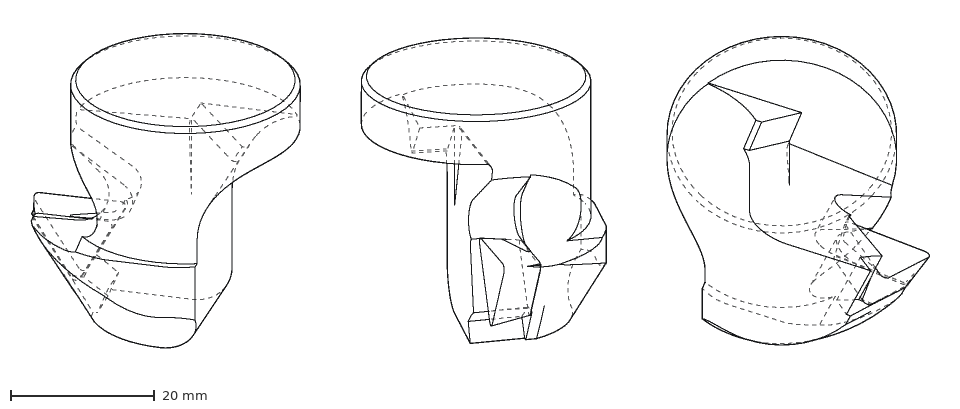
import cadquery as cq
import math

head_diameter = 32.0
head_radius = head_diameter / 2
total_height = 35.05
head_chamfer = 0.72
back_cut_x = 5.9
flange_underside_z = 27.95
foot_corner_radius = 5.7

foot_top_z = 14.3
foot_radius = 13.45
flank_slope = math.tan(math.radians(30))
relief_wall_y = -17.13
wall_left_x = -22.75
wall_rear_y = 7.58
wall_side_corner = (wall_left_x, -4.17)
wall_arc_start = (-18.95, -9.48)
wall_arc_middle = (-13.35, -14.78)
wall_arc_end = (-7.05, relief_wall_y)
wall_flat_end_x = 1.48
wall_back_y = -15.9

skew_angle = 5
rake_y = 1.95
insert_thickness = 5.55
clearance_angle = 5.5
nose_radius = 0.75
insert_corners = [(-22.47, 15.1), (-14.8, 2.85), (-8.35, 14.6)]
seat_y = rake_y - insert_thickness

front_root_radius = 4.47
front_root = (-14.6, 18.4)
rear_root_radius = 6.15 / 2
front_roof_angle = 45
rear_root = (-9.85, 17.45)
rear_roof_angle = 36

chip_face_y = 3.05
chip_face_tilt = 5.5
chip_wall_y = 0.5
flange_fillet = 1.15
boss_y = 7.95
boss_bottom_z = 22.0
boss_start_x = 0.0

flank_relief_foot_x = -12.35
flank_relief_slope = math.tan(math.radians(31.5))
notch_profile = [(-11.75, 0), (-10.25, 2.73), (-13.65, 5.3)]
notch_y = -3.8

reach = 45.48


def skewed(shape):
    """Turn a shape from the insert's frame into the part's frame."""
    return shape.rotate((0, 0, 0), (0, 0, 1), skew_angle)


def box(x_min, x_max, y_min, y_max, z_min, z_max):
    return cq.Workplane("XY").box(
        x_max - x_min, y_max - y_min, z_max - z_min, centered=False
    ).translate((x_min, y_min, z_min))


def prism_along_y(outline, y_min, y_max):
    """Extrude a closed XZ outline between two Y positions."""
    return cq.Workplane("XZ", origin=(0, y_max, 0)).polyline(outline).close().extrude(y_max - y_min)


def make_head():
    """Cylinder from the top of the foot upward; the neck is cut out of it later."""
    head = cq.Workplane("XY", origin=(0, 0, foot_top_z)).circle(head_radius)
    head = head.extrude(total_height - foot_top_z)
    return head.faces(">Z").edges().chamfer(head_chamfer)


def make_foot():
    """Conical flank trimmed by the plan outline of the relief wall."""
    top_radius = foot_radius + flank_slope * foot_top_z
    cone = cq.Workplane(cq.Solid.makeCone(foot_radius, top_radius, foot_top_z))
    wall = (
        cq.Workplane("XY")
        .moveTo(wall_left_x, wall_rear_y)
        .lineTo(*wall_side_corner)
        .lineTo(*wall_arc_start)
        .threePointArc(wall_arc_middle, wall_arc_end)
        .lineTo(wall_flat_end_x, relief_wall_y)
        .tangentArcPoint((back_cut_x, wall_back_y), relative=False)
        .lineTo(back_cut_x, wall_rear_y)
        .close()
        .extrude(foot_top_z)
    )
    return cone.intersect(wall)


def back_cut():
    """Flat up the +X side that sweeps out under the flange in a quarter circle."""
    sweep_radius = head_radius - back_cut_x
    sweep_z = flange_underside_z - sweep_radius
    sweep_diagonal = sweep_radius * math.sqrt(0.5)
    corner_start_x = back_cut_x - foot_corner_radius
    corner_inset = foot_corner_radius * (1 - math.sqrt(0.5))
    return (
        cq.Workplane("XZ", origin=(0, reach / 2, 0))
        .moveTo(corner_start_x, 0)
        .threePointArc((back_cut_x - corner_inset, corner_inset), (back_cut_x, foot_corner_radius))
        .lineTo(back_cut_x, sweep_z)
        .threePointArc(
            (head_radius - sweep_diagonal, sweep_z + sweep_diagonal),
            (head_radius, flange_underside_z),
        )
        .lineTo(reach, flange_underside_z)
        .lineTo(reach, 0)
        .close()
        .extrude(reach)
    )


def gullet(root, radius, roof_angle, y_min, y_max):
    """Slot with a flat floor, a round root and a sloping roof that opens toward -X."""
    x, z = root
    sine = math.sin(math.radians(roof_angle))
    cosine = math.cos(math.radians(roof_angle))
    slot = (
        cq.Workplane("XZ", origin=(0, y_max, 0))
        .moveTo(-reach, z - radius)
        .lineTo(x, z - radius)
        .threePointArc((x + radius, z), (x + radius * sine, z + radius * cosine))
        .line(-reach * cosine, reach * sine)
        .close()
        .extrude(y_max - y_min)
    )
    return skewed(slot)


def chip_side_cuts():
    """Flat, boss and tilted wall on the +Y side, below the flange."""
    flat = box(-reach, reach, chip_face_y, reach, 0, flange_underside_z)
    slope_run = flange_underside_z - boss_bottom_z
    boss_outline = [
        (boss_start_x, flange_underside_z),
        (boss_start_x + slope_run, boss_bottom_z),
        (reach, boss_bottom_z),
        (reach, flange_underside_z),
    ]
    boss = prism_along_y(boss_outline, 0, boss_y)
    tilted = box(-reach, reach, 0, reach, -reach, 0).edges("<Y and >Z").fillet(flange_fillet)
    tilted = tilted.rotate((0, 0, 0), (1, 0, 0), chip_face_tilt)
    tilted = skewed(tilted).translate((-head_radius, chip_wall_y, flange_underside_z))
    below_flange = box(-reach, boss_start_x, -reach, reach, 0, flange_underside_z)
    return flat.cut(boss).union(tilted.intersect(below_flange))


def flank_relief():
    """Flat, parallel to the insert's edge, that trims the cone beside the insert."""
    top_x = flank_relief_foot_x - flank_relief_slope * foot_top_z
    outline = [(flank_relief_foot_x, 0), (top_x, foot_top_z), (-reach, foot_top_z), (-reach, 0)]
    return skewed(prism_along_y(outline, -reach, reach))


def notch():
    outline = [(-reach, 0), *notch_profile, (-reach, notch_profile[-1][1])]
    return skewed(prism_along_y(outline, notch_y, reach))


def insert_prism(length, taper):
    """Rounded triangle growing from the rake face: toward -Y, or toward +Y if length is negative."""
    prism = cq.Workplane("XZ", origin=(0, rake_y, 0)).polyline(insert_corners).close()
    return skewed(prism.extrude(length, taper=taper).edges("not #Y").fillet(nose_radius))


def make_insert():
    return insert_prism(insert_thickness, clearance_angle)


def make_holder():
    holder = make_head().union(make_foot())
    holder = holder.cut(back_cut())
    holder = holder.cut(gullet(front_root, front_root_radius, front_roof_angle, -reach, seat_y))
    holder = holder.cut(gullet(rear_root, rear_root_radius, rear_roof_angle, seat_y, reach))
    holder = holder.cut(chip_side_cuts())
    holder = holder.cut(flank_relief())
    holder = holder.cut(notch())
    holder = holder.cut(make_insert())
    return holder.cut(insert_prism(-reach / 2, 0))


holder = make_holder()
insert = make_insert()
result = cq.Compound.makeCompound([holder.val(), insert.val()])